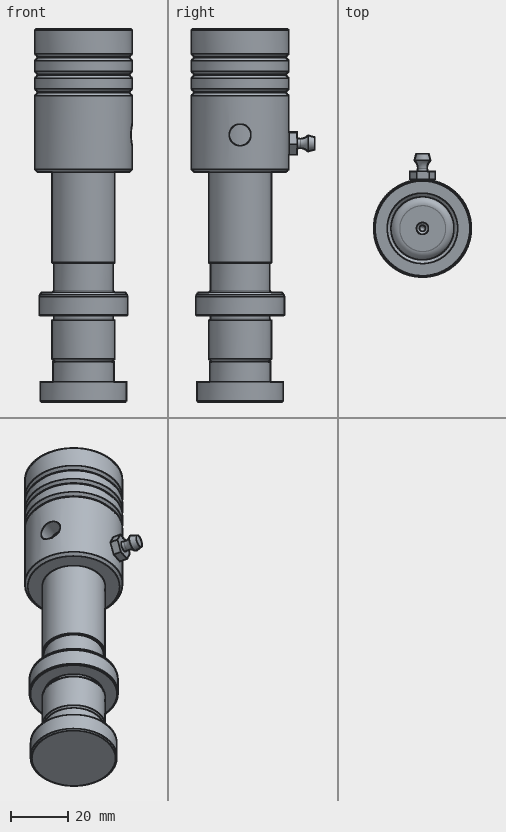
import cadquery as cq
import math

total_height = 130.0

bush_radius = 17.0
bush_length = 49.9
bush_top_chamfer = 0.5
bush_bottom_chamfer = 1.0
bush_bottom = total_height - bush_length
bore_chamfer_width = 1.3
bore_chamfer_depth = 1.3
groove_depth = 1.0
groove_width = 2.3
groove_root_width = 0.3
groove_first_drop = 9.9
groove_pitch = 6.1
groove_count = 3
port_radius = 3.8
port_z = 93.1

pillar_diameter = 22.0
pillar_radius = pillar_diameter / 2
pillar_bottom = 14.0
pillar_top_fillet = 3.0
pillar_bottom_chamfer = 1.0
relief_radius = 10.4
relief_top = 48.4
relief_bottom = 28.5
relief_step_chamfer = 0.3
relief_corner = 0.5
collar_radius = 15.5
collar_top = 38.2
collar_bottom = 30.0
collar_upper_chamfer_width = 0.6
collar_lower_chamfer_width = 0.3
collar_chamfer_height = 0.8
collar_bottom_chamfer = 0.4
collar_root_fillet = 0.8
center_mouth_radius = 2.1
center_pilot_radius = 1.0
center_pilot_length = 1.3
center_cone_half_angle = 45.0
center_tip_half_angle = 59.0

cap_neck_radius = 10.7
cap_flange_radius = 15.1
cap_flange_height = 7.0
cap_chamfer = 0.5

nipple_z = 90.1
nipple_length = 9.0
hex_across_flats = 7.8
hex_height = 2.9
hex_turn = 3.0
nipple_root_radius = 1.8
nipple_neck_radius = 1.7
nipple_head_radius = 2.9
nipple_tip_radius = 2.2
neck_from_seat = 3.9
throat_radius = 2.0
throat_from_seat = 5.3
head_from_seat = 6.6


def revolve_profile(profile):
    """Turn a closed (radius, z) profile once around the Z axis."""
    return profile.close().revolve(360, (0, 0, 0), (0, 1, 0))


def make_bush():
    """Sleeve with three outer grooves and a round port through its +X wall."""
    profile = (
        cq.Workplane("XZ")
        .moveTo(pillar_radius, bush_bottom)
        .lineTo(bush_radius - bush_bottom_chamfer, bush_bottom)
        .lineTo(bush_radius, bush_bottom + bush_bottom_chamfer)
        .lineTo(bush_radius, total_height - bush_top_chamfer)
        .lineTo(bush_radius - bush_top_chamfer, total_height)
        .lineTo(pillar_radius + bore_chamfer_width, total_height)
        .lineTo(pillar_radius, total_height - bore_chamfer_depth)
    )
    bush = revolve_profile(profile)
    for index in range(groove_count):
        bush = bush.cut(make_groove(total_height - groove_first_drop - index * groove_pitch))
    port = (
        cq.Workplane("YZ")
        .center(0, port_z)
        .circle(port_radius)
        .extrude(bush_radius)
    )
    bore = cq.Workplane("XY").circle(pillar_radius).extrude(total_height)
    return bush.cut(port.cut(bore))


def make_groove(center_z):
    """Ring with sloping flanks and a narrow root, centred on center_z."""
    root_radius = bush_radius - groove_depth
    flank_slope = (groove_width - groove_root_width) / 2 / groove_depth
    outer_radius = bush_radius + groove_depth
    outer_half = groove_width / 2 + groove_depth * flank_slope
    profile = (
        cq.Workplane("XZ")
        .moveTo(root_radius, center_z - groove_root_width / 2)
        .lineTo(outer_radius, center_z - outer_half)
        .lineTo(outer_radius, center_z + outer_half)
        .lineTo(root_radius, center_z + groove_root_width / 2)
    )
    return revolve_profile(profile)


def make_pillar():
    """Stepped round pillar with a collar between two relieved lengths."""
    diagonal = math.sqrt(0.5)
    fillet_center_r = pillar_radius - pillar_top_fillet
    fillet_center_z = total_height - pillar_top_fillet
    collar_shoulder_radius = collar_radius - collar_lower_chamfer_width
    collar_rim_radius = collar_shoulder_radius - collar_upper_chamfer_width
    collar_shoulder_z = collar_top - collar_chamfer_height
    root_center_r = relief_radius + collar_root_fillet
    root_center_z = collar_top + collar_root_fillet
    corner_center_r = relief_radius + relief_corner
    corner_center_z = relief_bottom + relief_corner
    profile = (
        cq.Workplane("XZ")
        .moveTo(0, pillar_bottom)
        .lineTo(pillar_radius - pillar_bottom_chamfer, pillar_bottom)
        .lineTo(pillar_radius, pillar_bottom + pillar_bottom_chamfer)
        .lineTo(pillar_radius, relief_bottom)
        .lineTo(corner_center_r, relief_bottom)
        .threePointArc(
            (corner_center_r - relief_corner * diagonal, corner_center_z - relief_corner * diagonal),
            (relief_radius, corner_center_z),
        )
        .lineTo(relief_radius, collar_bottom)
        .lineTo(collar_radius - collar_bottom_chamfer, collar_bottom)
        .lineTo(collar_radius, collar_bottom + collar_bottom_chamfer)
        .lineTo(collar_radius, collar_shoulder_z - collar_chamfer_height)
        .lineTo(collar_shoulder_radius, collar_shoulder_z)
        .lineTo(collar_rim_radius, collar_top)
        .lineTo(root_center_r, collar_top)
        .threePointArc(
            (root_center_r - collar_root_fillet * diagonal, root_center_z - collar_root_fillet * diagonal),
            (relief_radius, root_center_z),
        )
        .lineTo(relief_radius, relief_top)
        .lineTo(pillar_radius - relief_step_chamfer, relief_top)
        .lineTo(pillar_radius, relief_top + relief_step_chamfer)
        .lineTo(pillar_radius, fillet_center_z)
        .threePointArc(
            (fillet_center_r + pillar_top_fillet * diagonal, fillet_center_z + pillar_top_fillet * diagonal),
            (fillet_center_r, total_height),
        )
        .lineTo(0, total_height)
    )
    return revolve_profile(profile).cut(make_center_hole())


def make_center_hole():
    """Countersunk pilot hole with a drill-point bottom, in the pillar top."""
    cone_depth = (center_mouth_radius - center_pilot_radius) / math.tan(math.radians(center_cone_half_angle))
    tip_depth = center_pilot_radius / math.tan(math.radians(center_tip_half_angle))
    cone_bottom = total_height - cone_depth
    pilot_bottom = cone_bottom - center_pilot_length
    profile = (
        cq.Workplane("XZ")
        .moveTo(0, total_height)
        .lineTo(center_mouth_radius, total_height)
        .lineTo(center_pilot_radius, cone_bottom)
        .lineTo(center_pilot_radius, pilot_bottom)
        .lineTo(0, pilot_bottom - tip_depth)
    )
    return revolve_profile(profile)


def make_cap():
    """Flanged cap whose neck meets the pillar bottom."""
    flange = cq.Workplane("XY").circle(cap_flange_radius).extrude(cap_flange_height)
    flange = flange.faces("<Z").edges().chamfer(cap_chamfer)
    neck = cq.Workplane("XY").circle(cap_neck_radius).extrude(pillar_bottom)
    return flange.union(neck)


def make_nipple():
    """Built upright on its hexagon seat, then laid along +Y against the bush."""
    hex_diameter = hex_across_flats / math.cos(math.pi / 6)
    hexagon = (
        cq.Workplane("XY")
        .polygon(6, hex_diameter)
        .extrude(hex_height)
        .rotate((0, 0, 0), (0, 0, 1), hex_turn)
    )
    profile = (
        cq.Workplane("XZ")
        .lineTo(nipple_root_radius, 0)
        .lineTo(nipple_root_radius, hex_height)
        .lineTo(nipple_neck_radius, neck_from_seat)
        .threePointArc((throat_radius, throat_from_seat), (nipple_head_radius, head_from_seat))
        .lineTo(nipple_tip_radius, nipple_length)
        .lineTo(0, nipple_length)
    )
    nipple = hexagon.union(revolve_profile(profile))
    return nipple.rotate((0, 0, 0), (1, 0, 0), -90).translate((0, bush_radius, nipple_z))


bush = make_bush()
pillar = make_pillar()
cap = make_cap()
nipple = make_nipple()

result = cq.Compound.makeCompound([bush.val(), pillar.val(), cap.val(), nipple.val()])